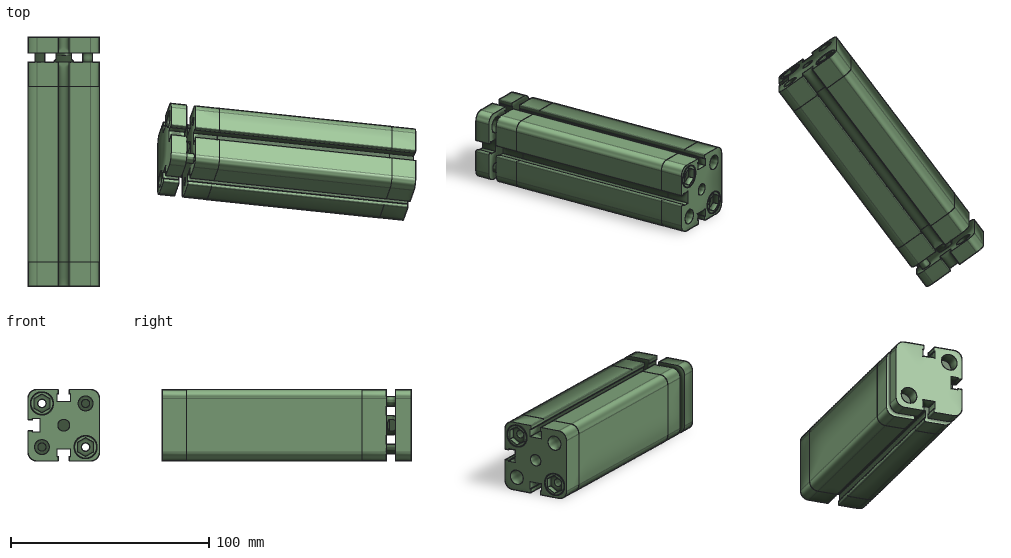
import cadquery as cq
import math

cap_side = 36.0
tube_side = 36.1
corner_radius = 4.5
slot_mouth_width = 5.5
slot_mouth_round = 0.4
slot_inner_width = 6.6
slot_lip_depth = 2.2
slot_depth = 6.0

total_length = 125.5
cap_length = 12.25
plate_length = 8.0
plate_gap = 4.5
body_length = total_length - plate_length - plate_gap
front_y = -total_length / 2
tube_start_y = front_y + cap_length
body_end_y = front_y + body_length
tube_end_y = body_end_y - cap_length
plate_start_y = body_end_y + plate_gap
plate_end_y = front_y + total_length

screw_offset = 11.0
screw_through_diameter = 4.13
screw_ring_outer_diameter = 11.7
screw_ring_inner_diameter = 11.1
screw_ring_depth = 0.2
hex_across_flats = 8.2
hex_depth = 3.4
hex_half_angle = 30.0
thread_counterbore_diameter = 7.5
thread_counterbore_depth = 12.0
thread_core_diameter = 4.13
thread_core_depth = 24.0
center_hole_diameter = 6.0
center_hole_depth = 10.0

plate_hole_diameter = 8.5
pin_offset = 12.0
pin_diameter = 5.0
rod_diameter = 10.0
rod_end_diameter = 9.2
rod_taper_length = 1.3
rod_across_flats = 8.0
flat_clearance = 0.4

SLOT_ANGLES = (0, 180, -90)
SCREW_POINTS = [(-screw_offset, screw_offset), (screw_offset, -screw_offset)]
THREAD_POINTS = [(screw_offset, screw_offset), (-screw_offset, -screw_offset)]
PIN_POINTS = [(pin_offset, pin_offset), (-pin_offset, -pin_offset)]


def section_at(y):
    """Sketch plane facing -Y at station y: local x is X, local y is Z."""
    return cq.Workplane("XZ", origin=(0, y, 0))


def cylinders(points, diameter, start_y, end_y):
    """Cylinders along Y with the given (X, Z) centres."""
    return section_at(start_y).pushPoints(points).circle(diameter / 2).extrude(start_y - end_y)


def t_slot(side, start_y, end_y, angle):
    """T-slot cutter in the top face of a square bar, turned about Y by the angle."""
    top = side / 2
    lip = top - slot_lip_depth
    floor = top - slot_depth
    mouth = slot_mouth_width / 2
    inner = slot_inner_width / 2
    flare = mouth + slot_mouth_round
    cutter = (
        section_at(start_y)
        .moveTo(-flare, top)
        .radiusArc((-mouth, top - slot_mouth_round), slot_mouth_round)
        .lineTo(-mouth, lip)
        .lineTo(-inner, lip)
        .lineTo(-inner, floor)
        .lineTo(inner, floor)
        .lineTo(inner, lip)
        .lineTo(mouth, lip)
        .lineTo(mouth, top - slot_mouth_round)
        .radiusArc((flare, top), slot_mouth_round)
        .close()
        .extrude(start_y - end_y)
    )
    return cutter.rotate((0, 0, 0), (0, 1, 0), angle)


def slotted_bar(side, start_y, end_y):
    """Square bar along Y with rounded long edges and T-slots on top, bottom and -X faces."""
    bar = section_at(start_y).rect(side, side).extrude(start_y - end_y)
    bar = bar.edges("|Y").fillet(corner_radius)
    for angle in SLOT_ANGLES:
        bar = bar.cut(t_slot(side, start_y, end_y, angle))
    return bar


def piston_rod():
    """Rod bridging the gap, tapered at the plate, with two flats that run out at 45 degrees."""
    taper_y = plate_start_y - rod_taper_length
    rod = cylinders([(0, 0)], rod_diameter, body_end_y, taper_y)
    taper = (
        section_at(taper_y)
        .circle(rod_diameter / 2)
        .workplane(offset=-rod_taper_length)
        .circle(rod_end_diameter / 2)
        .loft()
    )
    rod = rod.union(taper)
    flat = rod_across_flats / 2
    runout = (rod_diameter - rod_across_flats) / 2
    start_y = body_end_y + flat_clearance
    for side in (-1, 1):
        cutter = (
            cq.Workplane("XY")
            .polyline([
                (side * flat, plate_start_y),
                (side * flat, start_y + runout),
                (side * (flat + runout), start_y),
                (side * (flat + runout), plate_start_y),
            ])
            .close()
            .extrude(rod_diameter / 2, both=True)
        )
        rod = rod.cut(cutter)
    return rod


def cylinder_body():
    """Tube between two end caps."""
    front_cap = slotted_bar(cap_side, front_y, tube_start_y)
    tube = slotted_bar(tube_side, tube_start_y, tube_end_y)
    rear_cap = slotted_bar(cap_side, tube_end_y, body_end_y)
    return tube.union(front_cap).union(rear_cap)


def front_holes(part):
    """Through-bored screws with hex sockets, counterbored blind holes and a central blind hole."""
    part = part.cut(cylinders(SCREW_POINTS, screw_through_diameter, front_y, body_end_y))
    ring = cylinders(SCREW_POINTS, screw_ring_outer_diameter, front_y, front_y + screw_ring_depth)
    core = cylinders(SCREW_POINTS, screw_ring_inner_diameter, front_y, front_y + screw_ring_depth)
    part = part.cut(ring.cut(core))
    hex_diameter = hex_across_flats / math.cos(math.radians(hex_half_angle))
    for x, z in SCREW_POINTS:
        socket = section_at(front_y).polygon(6, hex_diameter).extrude(-hex_depth)
        socket = socket.rotate((0, 0, 0), (0, 1, 0), hex_half_angle)
        part = part.cut(socket.translate((x, 0, z)))
    counterbore_end_y = front_y + thread_counterbore_depth
    core_end_y = front_y + thread_core_depth
    part = part.cut(cylinders(THREAD_POINTS, thread_counterbore_diameter, front_y, counterbore_end_y))
    part = part.cut(cylinders(THREAD_POINTS, thread_core_diameter, front_y, core_end_y))
    return part.cut(cylinders([(0, 0)], center_hole_diameter, front_y, front_y + center_hole_depth))


def yoke_plate():
    """Slotted plate with two clearance holes in line with the screws."""
    plate = slotted_bar(cap_side, plate_start_y, plate_end_y)
    return plate.cut(cylinders(SCREW_POINTS, plate_hole_diameter, plate_start_y, plate_end_y))


result = front_holes(cylinder_body()).union(yoke_plate())
result = result.union(piston_rod())
result = result.union(cylinders(PIN_POINTS, pin_diameter, body_end_y, plate_start_y))